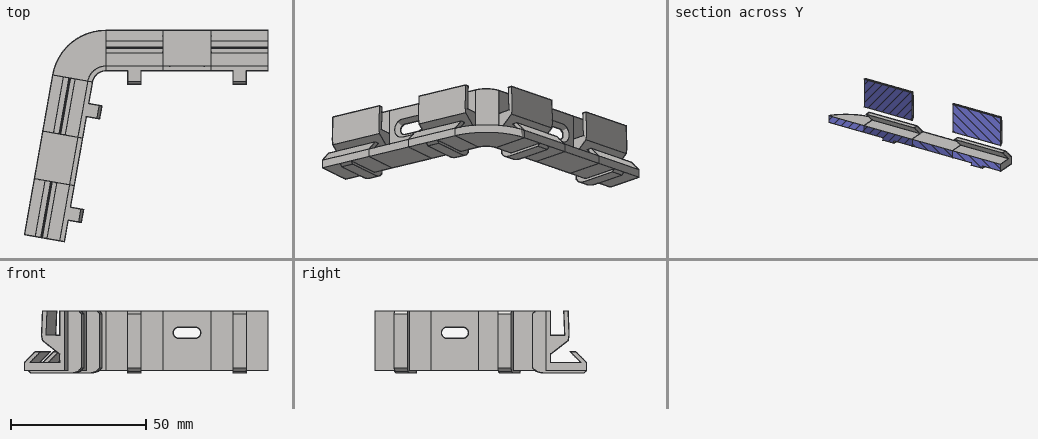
import cadquery as cq

interior_angle = 100.0
bend_angle = 180.0 - interior_angle
outer_radius = 20.0

section_width = 15.0
wall_thickness = 1.8
wall_height = 22.05
floor_thickness = 3.0
inner_radius = outer_radius - section_width
wall_face_distance = section_width - wall_thickness
wall_outer_radius = inner_radius + wall_thickness

clip_length = 21.1
screw_length = 17.8

lip_height = 4.05
lip_width = 2.1

hook_outer = 6.4
hook_thickness = 1.7
hook_lean = 0.4
hook_knee_height = 11.1
hook_knee_inset = 0.4
hook_root_height = 6.0
channel_floor_height = 13.05

rib_width = 4.95
rib_depth = 4.95
rib_top_chamfer = 1.1
foot_height = 1.0
rib_nose_height = 1.0
rib_nose_chamfer = 1.3

slot_length = 10.1
slot_height = 4.05
slot_centre_height = 13.95
slot_land = 0.3
countersink_angle = 45.0


def section_point(distance, height):
    """Point of the YZ plane at a distance inwards from the outer face."""
    return (outer_radius - distance, height)


def prism(points, length):
    """Extrude a YZ outline, centred on X = 0."""
    return cq.Workplane("YZ").polyline(points).close().extrude(length / 2, both=True)


def l_section(length):
    """Straight floor and wall shared by every arm segment."""
    return prism(
        [
            section_point(0, 0),
            section_point(section_width, 0),
            section_point(section_width, wall_height),
            section_point(wall_face_distance, wall_height),
            section_point(wall_face_distance, floor_thickness),
            section_point(0, floor_thickness),
        ],
        length,
    )


def lip(length):
    lip_top = floor_thickness + lip_height
    return prism(
        [
            section_point(0, floor_thickness),
            section_point(lip_width, floor_thickness),
            section_point(lip_height + lip_width, lip_top),
            section_point(lip_height, lip_top),
        ],
        length,
    )


def hook(length):
    hook_inner = hook_outer + hook_thickness
    return prism(
        [
            section_point(wall_face_distance, hook_root_height),
            section_point(wall_face_distance, channel_floor_height),
            section_point(hook_inner, channel_floor_height),
            section_point(hook_inner + hook_lean, wall_height),
            section_point(hook_outer + hook_lean, wall_height),
            section_point(hook_outer, channel_floor_height),
            section_point(hook_outer + hook_knee_inset, hook_knee_height),
        ],
        length,
    )


def rib():
    """Foot under the floor and rib up the inner face, joined by a curved heel."""
    rib_end = section_width + rib_depth
    heel_end = section_point(rib_end - rib_nose_chamfer, rib_nose_height - rib_nose_chamfer)
    return (
        cq.Workplane("YZ")
        .moveTo(*section_point(0, 0))
        .lineTo(*section_point(foot_height, -foot_height))
        .lineTo(*section_point(section_width, -foot_height))
        .tangentArcPoint(heel_end, relative=False)
        .lineTo(*section_point(rib_end, rib_nose_height))
        .lineTo(*section_point(rib_end, wall_height - rib_top_chamfer))
        .lineTo(*section_point(rib_end - rib_top_chamfer, wall_height))
        .lineTo(*section_point(wall_face_distance, wall_height))
        .lineTo(*section_point(wall_face_distance, 0))
        .close()
        .extrude(rib_width / 2, both=True)
    )


def clip_segment():
    """Segment with the lip and the hook along its whole length and a rib at its middle."""
    section = l_section(clip_length)
    return section.union(lip(clip_length)).union(hook(clip_length)).union(rib())


def screw_hole():
    """Slot with a short straight land at the inner face, widening towards the outer face of the wall."""
    land = (
        cq.Workplane("XZ", origin=(0, inner_radius, slot_centre_height))
        .slot2D(slot_length, slot_height)
        .extrude(-slot_land)
    )
    countersink = (
        cq.Workplane("XZ", origin=(0, inner_radius + slot_land, slot_centre_height))
        .slot2D(slot_length, slot_height)
        .extrude(slot_land - wall_thickness, taper=-countersink_angle)
    )
    return land.union(countersink)


def screw_segment():
    return l_section(screw_length).cut(screw_hole())


def elbow():
    """L section swept round the bend, from the start of one arm to the start of the other."""
    profile = [
        (inner_radius, 0),
        (outer_radius, 0),
        (outer_radius, floor_thickness),
        (wall_outer_radius, floor_thickness),
        (wall_outer_radius, wall_height),
        (inner_radius, wall_height),
    ]
    axis_start = (0, 0, 0)
    axis_end = (0, 1, 0)
    return cq.Workplane("YZ").polyline(profile).close().revolve(bend_angle, axis_start, axis_end)


def on_right_arm(body, station):
    """Solid at a distance from the elbow along +X."""
    return body.translate((station, 0, 0)).val()


def on_left_arm(body, station):
    """Solid at a distance from the elbow along the arm turned by the bend angle."""
    return body.translate((-station, 0, 0)).rotate((0, 0, 0), (0, 0, 1), bend_angle).val()


near_clip_station = clip_length / 2
screw_station = clip_length + screw_length / 2
far_clip_station = clip_length + screw_length + clip_length / 2

bodies = [elbow().val()]
for place in (on_right_arm, on_left_arm):
    bodies.append(place(screw_segment(), screw_station))
    for clip_station in (near_clip_station, far_clip_station):
        bodies.append(place(clip_segment(), clip_station))

result = cq.Compound.makeCompound(bodies)